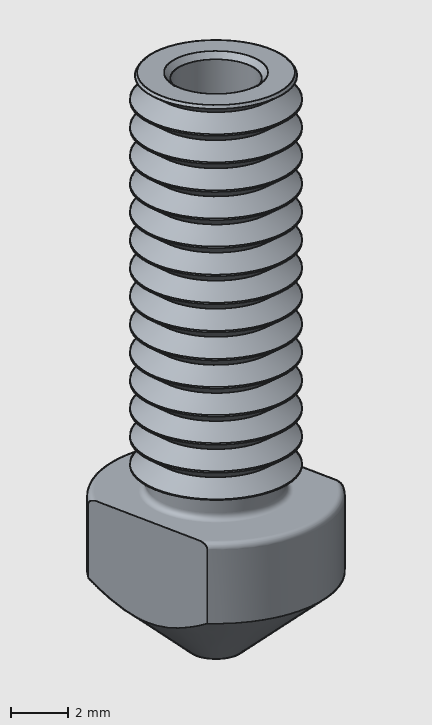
import cadquery as cq

total_height = 22.0
head_diameter = 9.0
across_flats = 7.0
head_top = 6.0
cone_height = 2.95
tip_diameter = 1.98
head_edge_radius = 0.25

neck_diameter = 4.9
neck_fillet = 0.25
thread_diameter = 6.0
root_diameter = 4.53
thread_start = 7.0
last_crest = 20.97
full_crest_steps = 13
thread_pitch = (last_crest - thread_start) / full_crest_steps
crest_flat = 0.07
end_face_diameter = 5.5
end_chamfer = 0.1

bore_diameter = 3.2
bore_chamfer = 0.22
bore_floor = cone_height
orifice_diameter = 1.2
orifice_length = 1.0


def make_head():
    """Round head with a conical tip, a rounded upper rim and two wrench flats."""
    head = cq.Workplane("XY").workplane(offset=cone_height).circle(head_diameter / 2).extrude(
        head_top - cone_height
    )
    head = head.faces(">Z").edges().fillet(head_edge_radius)
    cone_profile = [
        (0, 0),
        (tip_diameter / 2, 0),
        (head_diameter / 2, cone_height),
        (0, cone_height),
    ]
    cone = cq.Workplane("XZ").polyline(cone_profile).close().revolve(360, (0, 0), (0, 1))
    flats = cq.Workplane("XY").rect(head_diameter, across_flats).extrude(head_top)
    return head.union(cone).intersect(flats)


def make_shank():
    """Neck with a root fillet below a stack of V-shaped thread rings with narrow flat crests."""
    neck_radius = neck_diameter / 2
    crest_radius = thread_diameter / 2
    root_radius = root_diameter / 2
    end_radius = end_face_diameter / 2
    flank_slope = (crest_radius - root_radius) / ((thread_pitch - crest_flat) / 2)

    profile = (
        cq.Workplane("XZ")
        .moveTo(0, head_top)
        .lineTo(neck_radius + neck_fillet, head_top)
        .radiusArc((neck_radius, head_top + neck_fillet), neck_fillet)
        .lineTo(neck_radius, thread_start)
        .lineTo(crest_radius, thread_start)
    )
    for step in range(full_crest_steps):
        lower_crest = thread_start + step * thread_pitch
        upper_crest = lower_crest + thread_pitch
        profile = (
            profile.lineTo(crest_radius, lower_crest + crest_flat / 2)
            .lineTo(root_radius, lower_crest + thread_pitch / 2)
            .lineTo(crest_radius, upper_crest - crest_flat / 2)
        )

    last_root = last_crest + thread_pitch / 2
    last_flank_end = total_height - end_chamfer
    last_flank_radius = root_radius + flank_slope * (last_flank_end - last_root)
    profile = (
        profile.lineTo(crest_radius, last_crest + crest_flat / 2)
        .lineTo(root_radius, last_root)
        .lineTo(last_flank_radius, last_flank_end)
        .lineTo(end_radius, total_height)
        .lineTo(0, total_height)
        .close()
    )
    return profile.revolve(360, (0, 0), (0, 1))


def make_bore():
    """Chamfered bore that tapers down to the through orifice."""
    bore_radius = bore_diameter / 2
    orifice_radius = orifice_diameter / 2
    bore_profile = [
        (0, 0),
        (orifice_radius, 0),
        (orifice_radius, orifice_length),
        (bore_radius, bore_floor),
        (bore_radius, total_height - bore_chamfer),
        (bore_radius + bore_chamfer, total_height),
        (0, total_height),
    ]
    return cq.Workplane("XZ").polyline(bore_profile).close().revolve(360, (0, 0), (0, 1))


result = make_head().union(make_shank()).cut(make_bore())